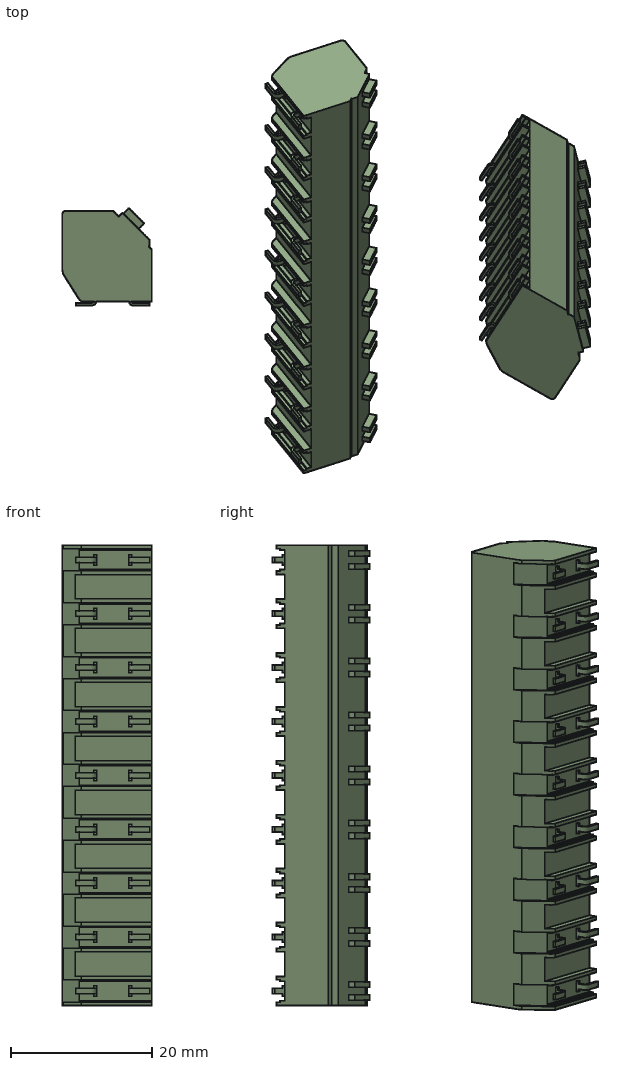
import cadquery as cq
import math

LENGTH = 65.15
MODULES = 9
PITCH = 7.6
WIDTH = 12.7
DEPTH = 12.85
BACK_FILLET = 0.5

FLANGE = 0.5
WALL_FRONT = 1.2
MODULE_HEIGHT = LENGTH - (MODULES - 1) * PITCH
BAY_HEIGHT = MODULE_HEIGHT - 2 * FLANGE
LIP_FRONT = 0.5
LIP_HEIGHT = 0.2

SLOPE_BEND = (0.1, 3.9)
SLOPE_START = 4.5
SLOPE_END = (2.35, 0.4)
FRONT_CORNER = 2.75
BAY_SLOPE_START = 5.3
BAY_SLOPE_END = 2.4

CHAMFER_SUM = 20.1
LAND_SUM = 21.1
LAND_START = 8.0
LAND_SIDE = 12.4
LAND_FOOT = 7.8

PRONG_START = 8.65
PRONG_LENGTH = 3.05
PRONG_RISE = 1.1
PRONG_SPAN = 2.6
PRONG_GAP = 1.05

FOOT_FRONT = -0.6
STRIP = 0.4
STRIP_HEIGHT = 0.8
LEG_HEIGHT = 1.5
SHOULDER_FRONT = 0.85
LEFT_LEG = 4.9
LEFT_TIP = 1.95
LEFT_BEND = 0.8
RIGHT_LEG = 9.45
RIGHT_TIP = 12.4
RIGHT_BEND = 0.65

OVERLAP = 0.3
MARGIN = 0.65

module_centers = [MODULE_HEIGHT / 2 + i * PITCH for i in range(MODULES)]


def prism(points, z_center, height):
    """Closed outline extruded symmetrically about a height."""
    plane = cq.Workplane("XY", origin=(0, 0, z_center))
    return plane.polyline(points).close().extrude(height / 2, both=True)


def block(x_min, x_max, y_min, y_max, z_center, height):
    """Upright box given by its X and Y limits."""
    corners = [(x_min, y_min), (x_max, y_min), (x_max, y_max), (x_min, y_max)]
    return prism(corners, z_center, height)


def housing():
    """Full outline, including the raised land, along the whole length."""
    step_rise = (LAND_SUM - CHAMFER_SUM) / 2
    outline = [
        (FRONT_CORNER, 0),
        (WIDTH, 0),
        (WIDTH, CHAMFER_SUM - WIDTH),
        (CHAMFER_SUM - LAND_FOOT, LAND_FOOT),
        (LAND_SIDE, LAND_FOOT),
        (LAND_SIDE, LAND_SUM - LAND_SIDE),
        (LAND_START + step_rise, CHAMFER_SUM - LAND_START + step_rise),
        (LAND_START, CHAMFER_SUM - LAND_START),
        (CHAMFER_SUM - DEPTH, DEPTH),
        (0, DEPTH),
        (0, SLOPE_START),
        SLOPE_BEND,
        SLOPE_END,
    ]
    body = prism(outline, LENGTH / 2, LENGTH)
    back_left_edge = cq.selectors.NearestToPointSelector((0, DEPTH, LENGTH / 2))
    return body.edges(back_left_edge).fillet(BACK_FILLET)


def bay_cutter(front, z_center, height):
    """Space outside the bay's sloped corner and in front of a given Y."""
    slope = BAY_SLOPE_END / (BAY_SLOPE_START - WALL_FRONT)
    corner = slope * (BAY_SLOPE_START - front)
    outer = -MARGIN
    outline = [
        (outer, BAY_SLOPE_START),
        (0, BAY_SLOPE_START),
        (corner, front),
        (WIDTH + MARGIN, front),
        (WIDTH + MARGIN, outer),
        (outer, outer),
    ]
    return prism(outline, z_center, height)


def contact(leg_side, tip, bend, z_center):
    """Strip bent in an arc from the leg to the foot, with a wider shoulder at the wall."""
    direction = math.copysign(1, tip - leg_side)
    inner_bend = bend - STRIP
    bend_x = leg_side + direction * bend
    bend_y = FOOT_FRONT + bend
    inner_side = leg_side + direction * STRIP
    foot_back = FOOT_FRONT + STRIP
    root = WALL_FRONT + OVERLAP
    diagonal = math.sqrt(0.5)

    def arc_middle(radius):
        return (bend_x - direction * radius * diagonal, bend_y - radius * diagonal)

    strip = (
        cq.Workplane("XY", origin=(0, 0, z_center))
        .moveTo(leg_side, root)
        .lineTo(leg_side, bend_y)
        .threePointArc(arc_middle(bend), (bend_x, FOOT_FRONT))
        .lineTo(tip, FOOT_FRONT)
        .lineTo(tip, foot_back)
        .lineTo(bend_x, foot_back)
        .threePointArc(arc_middle(inner_bend), (inner_side, bend_y))
        .lineTo(inner_side, root)
        .close()
        .extrude(STRIP_HEIGHT / 2, both=True)
    )
    left, right = sorted((leg_side, inner_side))
    shoulder = block(left, right, SHOULDER_FRONT, root, z_center, LEG_HEIGHT)
    return strip.union(shoulder)


def prong(z_center, height):
    """Rectangular prong standing square on the 45 degree land."""
    along = PRONG_LENGTH * math.sqrt(0.5)
    rise = PRONG_RISE * math.sqrt(0.5)
    sunk = OVERLAP * math.sqrt(0.5)
    start_y = LAND_SUM - PRONG_START
    outline = [
        (PRONG_START - sunk, start_y - sunk),
        (PRONG_START + along - sunk, start_y - along - sunk),
        (PRONG_START + along + rise, start_y - along + rise),
        (PRONG_START + rise, start_y + rise),
    ]
    return prism(outline, z_center, height)


result = housing()

for center in module_centers[:-1]:
    gap_center = center + PITCH / 2
    gap_height = PITCH - MODULE_HEIGHT
    result = result.cut(block(-MARGIN, WIDTH + MARGIN, -MARGIN, WALL_FRONT, gap_center, gap_height))

for center in module_centers:
    result = result.cut(bay_cutter(LIP_FRONT, center, BAY_HEIGHT))
    result = result.cut(bay_cutter(WALL_FRONT, center, BAY_HEIGHT - 2 * LIP_HEIGHT))

prong_height = (PRONG_SPAN - PRONG_GAP) / 2
prong_offset = (PRONG_SPAN + PRONG_GAP) / 4
for center in module_centers:
    result = result.union(contact(LEFT_LEG, LEFT_TIP, LEFT_BEND, center))
    result = result.union(contact(RIGHT_LEG, RIGHT_TIP, RIGHT_BEND, center))
    for side in (-1, 1):
        result = result.union(prong(center + side * prong_offset, prong_height))